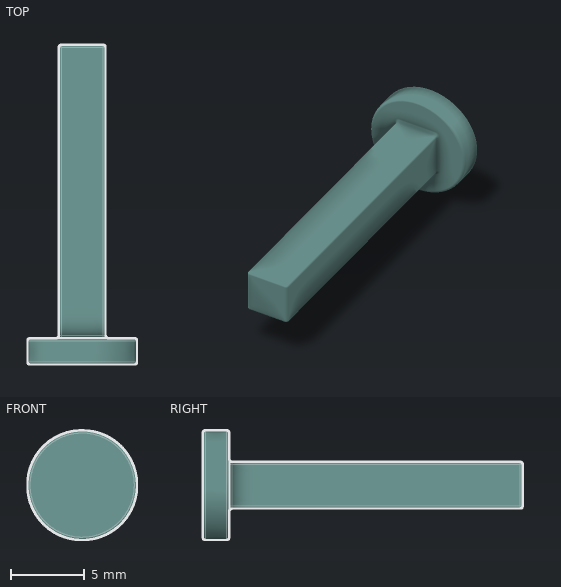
import cadquery as cq

total_length = 21.8
head_diameter = 7.5
head_thickness = 1.8
shank_width = 3.2
edge_radius = 0.2

shank_length = total_length - head_thickness


def make_head():
    """Round head with both rims rounded, its outer face on Y = 0."""
    disc = cq.Workplane("XZ").circle(head_diameter / 2).extrude(-head_thickness)
    return disc.edges("%CIRCLE").fillet(edge_radius)


def make_shank():
    """Square shank with rounded long edges and a rounded free end."""
    bar = (
        cq.Workplane("XZ", origin=(0, head_thickness, 0))
        .rect(shank_width, shank_width)
        .extrude(-shank_length)
    )
    return bar.edges("|Y or >Y").fillet(edge_radius)


def blend_root(body):
    """Fillet the inside corner where the shank meets the head."""
    reach = shank_width / 2 + edge_radius / 2
    margin = edge_radius / 10
    root_edges = cq.selectors.BoxSelector(
        (-reach, head_thickness - margin, -reach),
        (reach, head_thickness + margin, reach),
    )
    return body.edges(root_edges).fillet(edge_radius)


result = blend_root(make_head().union(make_shank()))